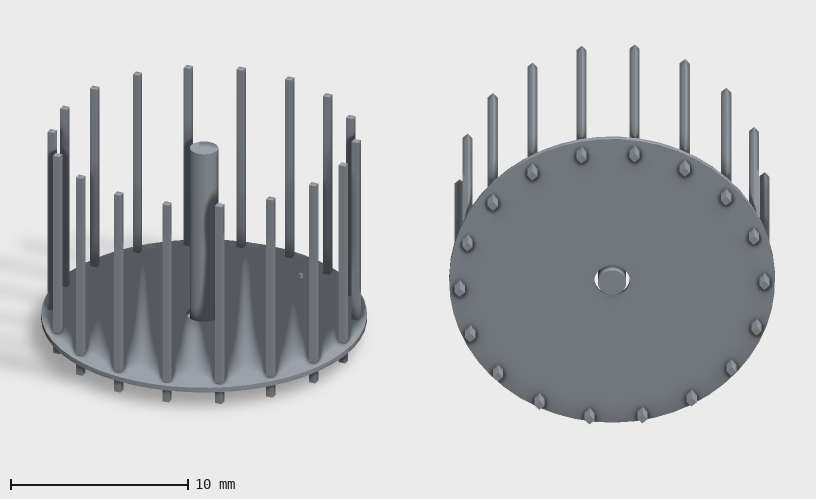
import cadquery as cq

plate_diameter = 18.4
plate_thickness = 0.3
plate_hole_diameter = 2.0

pin_count = 18
pin_width = 0.4
pin_length = 12.5
pin_circle_diameter = 17.2
pin_bottom_z = -0.94

shaft_diameter = 1.6
shaft_length = 11.0
shaft_bottom_z = -0.2

bead_diameter = 0.2
bead_length = 0.3
bead_center_x = 6.0
bead_bottom_z = 3.8


def make_pinned_plate():
    """Disc with its central hole and the ring of square pins, as one solid."""
    plate = (
        cq.Workplane("XY")
        .circle(plate_diameter / 2)
        .circle(plate_hole_diameter / 2)
        .extrude(plate_thickness)
    )
    pins = (
        cq.Workplane("XY", origin=(0, 0, pin_bottom_z))
        .polarArray(pin_circle_diameter / 2, 0, 360, pin_count, rotate=False)
        .rect(pin_width, pin_width)
        .extrude(pin_length)
    )
    return plate.union(pins)


def make_shaft():
    """Vertical round bar on the plate axis."""
    return (
        cq.Workplane("XY", origin=(0, 0, shaft_bottom_z))
        .circle(shaft_diameter / 2)
        .extrude(shaft_length)
    )


def make_bead():
    """Half cylinder whose round side faces -Y and whose flat side lies on Y = 0."""
    radius = bead_diameter / 2
    return (
        cq.Workplane("XY", origin=(bead_center_x, 0, bead_bottom_z))
        .moveTo(-radius, 0)
        .threePointArc((0, -radius), (radius, 0))
        .close()
        .extrude(bead_length)
    )


pinned_plate = make_pinned_plate()
shaft = make_shaft()
bead = make_bead()

result = cq.Compound.makeCompound([pinned_plate.solids().val(), shaft.val(), bead.val()])